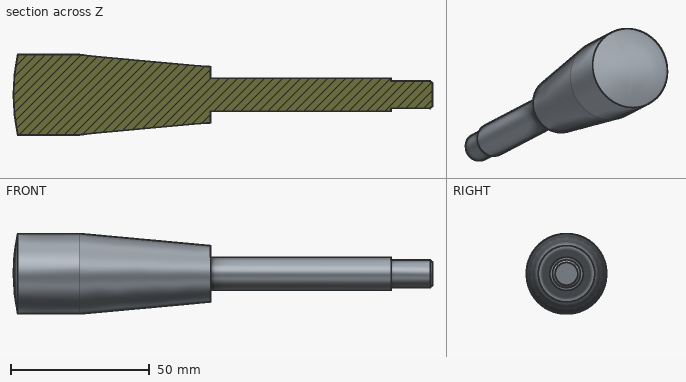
import cadquery as cq


grip_diameter = 29.0
grip_tip_diameter = 20.3
dome_height = 1.57
taper_start_x = 23.75
grip_end_x = 71.0

shaft_diameter = 12.0
pin_diameter = 10.0
pin_length = 15.0
pin_chamfer = 0.92
overall_length = 151.0
shaft_end_x = overall_length - pin_length


def make_grip():
    """Cylinder with a shallow spherical dome, followed by a straight taper."""
    grip_radius = grip_diameter / 2
    dome_radius = (grip_radius**2 + dome_height**2) / (2 * dome_height)
    mid_radius = grip_radius / 2
    mid_x = dome_radius - (dome_radius**2 - mid_radius**2) ** 0.5
    profile = (
        cq.Workplane("XZ")
        .moveTo(0, 0)
        .threePointArc((mid_x, mid_radius), (dome_height, grip_radius))
        .lineTo(taper_start_x, grip_radius)
        .lineTo(grip_end_x, grip_tip_diameter / 2)
        .lineTo(grip_end_x, 0)
        .close()
    )
    return profile.revolve(360, (0, 0, 0), (1, 0, 0))


def make_rod(diameter, start_x, end_x):
    """Cylinder along X between two positions."""
    plane = cq.Workplane("YZ", origin=(start_x, 0, 0))
    return plane.circle(diameter / 2).extrude(end_x - start_x)


grip = make_grip()
shaft = make_rod(shaft_diameter, grip_end_x, shaft_end_x)
pin = make_rod(pin_diameter, shaft_end_x, overall_length).faces(">X").chamfer(pin_chamfer)

result = grip.union(shaft).union(pin)